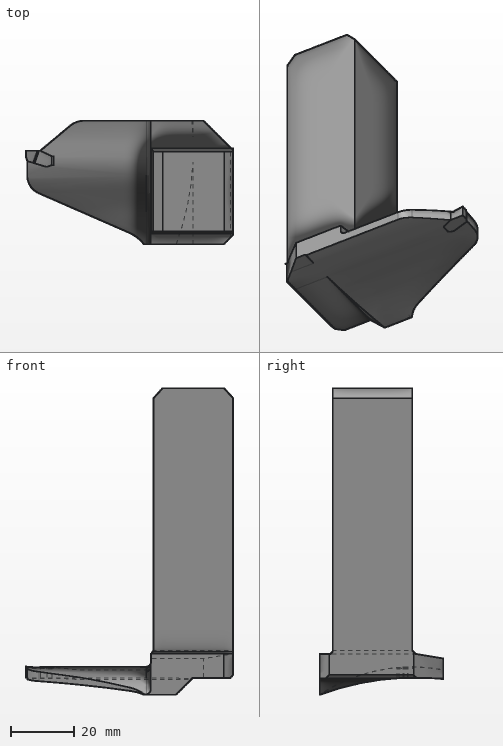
import cadquery as cq
import math

LENGTH = 65.6
WIDTH = 39.1
HEIGHT = 97.0

SHANK = 25.2
SHANK_Y = 4.1
SHANK_X = LENGTH - SHANK
TOP_CHAMFER_X = 2.9
TOP_CHAMFER_Z = 3.2
FOOT_FLARE = 0.7
FOOT_HEIGHT = 1.1

BASE_X = 39.6
BASE_TOP = 13.0
BASE_EDGE_TOP = 11.5
BASE_HEEL_Z = 5.3
BASE_SLOPE_X = 47.5
HEEL_CHAMFER = 1.0
CORNER_LOW = 3.0
CORNER_HIGH = 9.4

BLADE_CREST_Y = 29.1
BLADE_CREST_Z = 8.9
BLADE_TOP_RADIUS = 52.9
UNDER_CREST_Y = 30.1
UNDER_CREST_Z = 5.4
UNDER_RADIUS = math.hypot(UNDER_CREST_Y, UNDER_CREST_Z) ** 2 / (2 * UNDER_CREST_Z)
BLADE_FILLET = 1.6
BLADE_TIP_X = 0.4
NOSE_CORNER = (BLADE_TIP_X, 17.8)
NOSE_RADIUS = 6.3
SHOULDER_X = 15.9
SHOULDER_RADIUS = 6.8
FLARE_START = (32.8, 3.6)
FLARE_END_X = 37.4

INSERT_SIDE_Y = 29.6
INSERT_NECK_X = 4.6
INSERT_HEEL = (0.5, 26.3)
INSERT_REAR_X = 8.2
INSERT_REAR_LOW_Y = 25.0
INSERT_REAR_HIGH_Y = 27.85
INSERT_TIP_X = -1.6
INSERT_TIP_Z = 9.0
CHIP_GROOVE_X = 1.9
CHIP_GROOVE_Z = 8.4
CHIP_STEP_X = 2.4
INSERT_TOP = 8.6
INSERT_REAR_Z = 8.2
INSERT_SKEW = 19.0
INSERT_OUTLINE = [
    (0, INSERT_SIDE_Y),
    (0, 27.7),
    INSERT_HEEL,
    (6.6, 24.5),
    (INSERT_REAR_X, INSERT_REAR_LOW_Y),
    (INSERT_REAR_X, INSERT_REAR_HIGH_Y),
    (INSERT_NECK_X, INSERT_SIDE_Y),
]
SEAT_RELIEF = 0.7


def arch(crest_y, crest_z, radius):
    """Solid cylinder along X over the full length, with its highest line at the crest."""
    return cq.Workplane("YZ").center(crest_y, crest_z - radius).circle(radius).extrude(LENGTH)


def make_shank():
    shank = (
        cq.Workplane("XY", origin=(SHANK_X, SHANK_Y, BASE_TOP))
        .rect(SHANK, SHANK, centered=False)
        .extrude(HEIGHT - BASE_TOP)
    )
    outline = [
        (SHANK_X, BASE_TOP),
        (LENGTH, BASE_TOP),
        (LENGTH, HEIGHT - TOP_CHAMFER_Z),
        (LENGTH - TOP_CHAMFER_X, HEIGHT),
        (SHANK_X + TOP_CHAMFER_X, HEIGHT),
        (SHANK_X, HEIGHT - TOP_CHAMFER_Z),
    ]
    prism = cq.Workplane("XZ").polyline(outline).close().extrude(-WIDTH)
    return shank.intersect(prism)


def make_shank_foot():
    """Flared foot: the overlap of one flare seen along Y and one seen along X."""
    shank_far_y = SHANK_Y + SHANK
    along_y = [
        (SHANK_X - FOOT_FLARE, BASE_TOP),
        (LENGTH, BASE_TOP),
        (LENGTH, BASE_TOP + FOOT_HEIGHT),
        (SHANK_X, BASE_TOP + FOOT_HEIGHT),
    ]
    along_x = [
        (SHANK_Y - FOOT_FLARE, BASE_TOP),
        (shank_far_y + FOOT_HEIGHT, BASE_TOP),
        (shank_far_y, BASE_TOP + FOOT_HEIGHT),
        (SHANK_Y, BASE_TOP + FOOT_HEIGHT),
        (SHANK_Y, BASE_TOP + FOOT_FLARE),
    ]
    foot = cq.Workplane("XZ").polyline(along_y).close().extrude(-WIDTH)
    return foot.intersect(cq.Workplane("YZ").polyline(along_x).close().extrude(LENGTH))


def make_base():
    side = [
        (BASE_X, 0),
        (BASE_SLOPE_X, 0),
        (BASE_SLOPE_X + BASE_HEEL_Z, BASE_HEEL_Z),
        (LENGTH - HEEL_CHAMFER, BASE_HEEL_Z),
        (LENGTH, BASE_HEEL_Z + HEEL_CHAMFER),
        (LENGTH, BASE_TOP),
        (BASE_X, BASE_TOP),
    ]
    plan = [
        (BASE_X, 0),
        (LENGTH - CORNER_LOW, 0),
        (LENGTH, CORNER_LOW),
        (LENGTH, WIDTH - CORNER_HIGH),
        (LENGTH - CORNER_HIGH, WIDTH),
        (BASE_X, WIDTH),
    ]
    end = [
        (0, 0),
        (WIDTH, 0),
        (WIDTH, BASE_EDGE_TOP),
        (SHANK_Y + SHANK + FOOT_HEIGHT, BASE_TOP),
        (0, BASE_TOP),
    ]
    base = cq.Workplane("XZ").polyline(side).close().extrude(-WIDTH)
    base = base.intersect(cq.Workplane("XY").polyline(plan).close().extrude(BASE_TOP))
    return base.intersect(cq.Workplane("YZ").polyline(end).close().extrude(LENGTH))


def make_blade():
    """Arched plate: full-width at the base and narrowing to the nose."""
    plan = (
        cq.Workplane("XY")
        .moveTo(BASE_X, WIDTH)
        .lineTo(SHOULDER_X, WIDTH)
        .lineTo(INSERT_NECK_X, INSERT_SIDE_Y)
        .lineTo(BLADE_TIP_X, INSERT_SIDE_Y)
        .lineTo(*NOSE_CORNER)
        .lineTo(*FLARE_START)
        .tangentArcPoint((FLARE_END_X, 0), relative=False)
        .lineTo(BASE_X, 0)
        .close()
        .extrude(BASE_TOP)
    )
    nose_edge = cq.selectors.NearestToPointSelector((*NOSE_CORNER, BASE_TOP / 2))
    shoulder_edge = cq.selectors.NearestToPointSelector((SHOULDER_X, WIDTH, BASE_TOP / 2))
    plan = plan.edges(nose_edge).fillet(NOSE_RADIUS)
    plan = plan.edges(shoulder_edge).fillet(SHOULDER_RADIUS)
    return plan.intersect(arch(BLADE_CREST_Y, BLADE_CREST_Z, BLADE_TOP_RADIUS))


def fillet_blade_root(body):
    return body.edges("%CIRCLE").edges(">X").fillet(BLADE_FILLET)


def make_seat():
    """Opening for the insert, with a sloped relief above its rear end."""
    opening = cq.Workplane("XY").polyline(INSERT_OUTLINE).close().extrude(HEIGHT)
    relief_profile = [
        (INSERT_REAR_X, INSERT_REAR_Z),
        (INSERT_REAR_X + SEAT_RELIEF, INSERT_REAR_Z + SEAT_RELIEF),
        (INSERT_REAR_X, INSERT_REAR_Z + SEAT_RELIEF),
    ]
    relief = (
        cq.Workplane("XZ", origin=(0, INSERT_REAR_LOW_Y, 0))
        .polyline(relief_profile)
        .close()
        .extrude(INSERT_REAR_LOW_Y - INSERT_REAR_HIGH_Y)
    )
    return opening.union(relief)


def make_insert():
    """Through-thickness insert with a raked tip and a skewed chip groove."""
    top_profile = [
        (-WIDTH, 0),
        (-WIDTH, INSERT_TIP_Z),
        (INSERT_TIP_X, INSERT_TIP_Z),
        (CHIP_GROOVE_X, CHIP_GROOVE_Z),
        (CHIP_STEP_X, INSERT_TOP),
        (INSERT_REAR_X, INSERT_REAR_Z),
        (WIDTH, INSERT_REAR_Z),
        (WIDTH, 0),
    ]
    skewed = cq.Workplane("XZ").polyline(top_profile).close().extrude(WIDTH / 2, both=True)
    skewed = skewed.rotate((0, 0, 0), (0, 0, 1), -INSERT_SKEW).translate((*INSERT_HEEL, 0))
    insert = cq.Workplane("XY").polyline(INSERT_OUTLINE).close().extrude(HEIGHT)
    return insert.intersect(skewed)


underside = arch(UNDER_CREST_Y, UNDER_CREST_Z, UNDER_RADIUS)
holder = make_base().union(make_blade())
holder = fillet_blade_root(holder)
holder = holder.union(make_shank_foot()).union(make_shank())
holder = holder.cut(underside).cut(make_seat())
insert = make_insert().cut(underside)

result = cq.Compound.makeCompound([holder.val(), insert.val()])